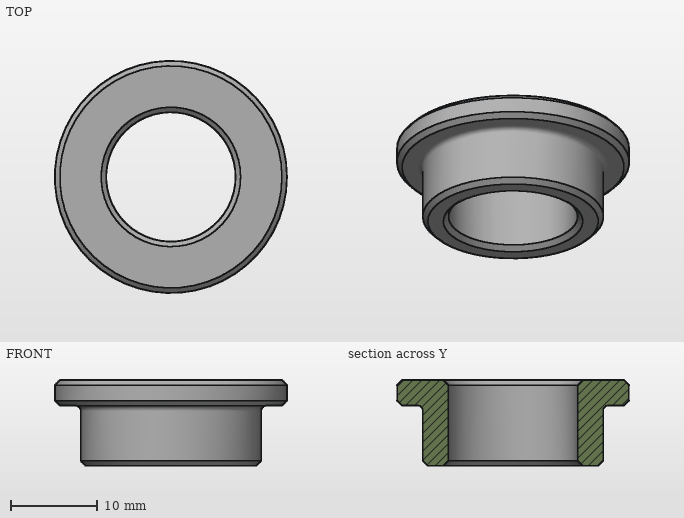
import cadquery as cq

bore_diameter = 15.0
sleeve_diameter = 21.0
flange_diameter = 27.0
total_height = 10.0
flange_thickness = 3.0
edge_chamfer = 0.6
neck_fillet = 0.6

bore_radius = bore_diameter / 2
sleeve_radius = sleeve_diameter / 2
flange_radius = flange_diameter / 2
flange_bottom = total_height - flange_thickness


def bushing_body():
    """Revolve the flanged half section, with its chamfered edges, about Z."""
    section = (
        cq.Workplane("XZ")
        .moveTo(bore_radius + edge_chamfer, 0)
        .lineTo(sleeve_radius - edge_chamfer, 0)
        .lineTo(sleeve_radius, edge_chamfer)
        .lineTo(sleeve_radius, flange_bottom - neck_fillet)
        .radiusArc((sleeve_radius + neck_fillet, flange_bottom), neck_fillet)
        .lineTo(flange_radius - edge_chamfer, flange_bottom)
        .lineTo(flange_radius, flange_bottom + edge_chamfer)
        .lineTo(flange_radius, total_height - edge_chamfer)
        .lineTo(flange_radius - edge_chamfer, total_height)
        .lineTo(bore_radius + edge_chamfer, total_height)
        .lineTo(bore_radius, total_height - edge_chamfer)
        .lineTo(bore_radius, edge_chamfer)
        .close()
    )
    return section.revolve(360, (0, 0, 0), (0, 1, 0))


result = bushing_body()